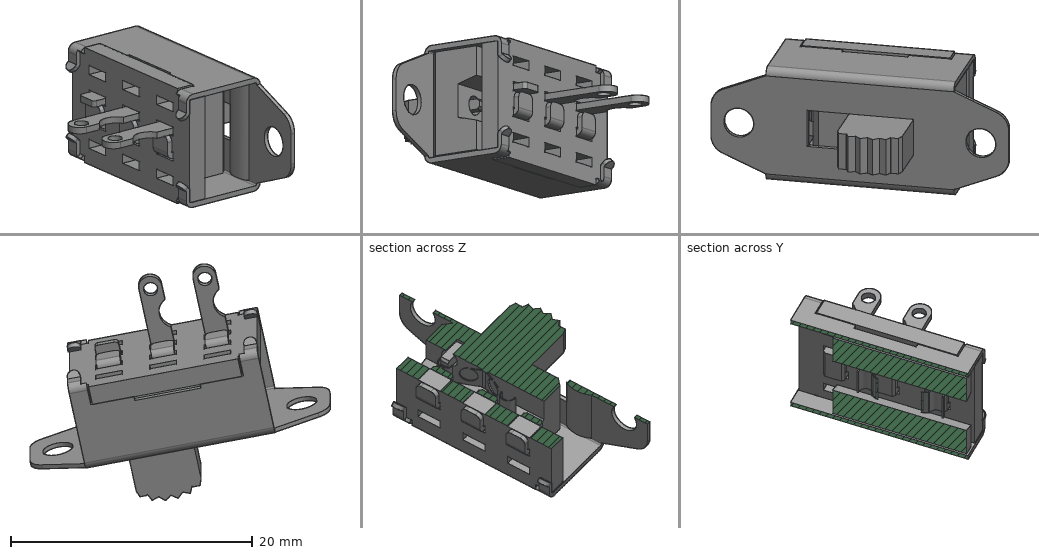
import cadquery as cq
import math


BRACKET_LENGTH = 16.04
BRACKET_HALF_HEIGHT = 5.0
SHEET = 0.38
SIDE_WALL = 0.46
FRONT_BEND_RADIUS = 0.7
BACK_BEND_RADIUS = 0.7
INNER_BEND_RADIUS = 0.13
EAR_SPAN = 25.4
EAR_ROOT_HALF_HEIGHT = 4.35
EAR_END_HALF_HEIGHT = 2.41
EAR_CORNER_RADIUS = 1.6
EAR_HOLE_DIAMETER = 2.54
EAR_HOLE_SPACING = 20.65
WINDOW_LENGTH = 8.96
WINDOW_HEIGHT = 3.2

BASE_FRONT = -5.74
BASE_BACK = -7.37
BASE_LENGTH = 15.88
BASE_HEIGHT = 2 * (BRACKET_HALF_HEIGHT - SIDE_WALL)
FLANGE_LENGTH = 12.66
FLANGE_HEIGHT = 10.16
SLOT_WIDTH = 2.26
SLOT_HEIGHT = 0.8
INNER_SLOT_Z = 1.1
OUTER_SLOT_Z = 3.26
POLE_PITCH = 4.59

FLANGE_NOTCH_LENGTH = 12.92
RELIEF_LENGTH = 5.6
RELIEF_DEPTH = 0.37

BRACKET_BACK = BASE_BACK - SHEET
TAB_WIDTH = 1.09
TAB_ROOT_Z = 4.3
BEND_CUT_Y = -7.34
BEND_CUT_Z = 4.45
TAB_KINK_Z = 3.47
TAB_TIP_LENGTH = 0.7
TAB_TIP_ANGLE = 45

DETENT_X = 5.7
DETENT_HALF_LENGTH = 1.3
DETENT_RISE = 0.35

HANDLE_X = -1.83
HANDLE_HEIGHT = 3.14
HANDLE_HALF_PROFILE = [(2.755, 4.0), (2.55, 4.57), (1.93, 4.57), (1.88, 4.5),
                       (1.62, 5.1), (1.02, 4.87), (0.53, 5.33), (0, 4.95)]
SLIDER_LENGTH = 12.1
SLIDER_HEIGHT = 8.82
SLIDER_BACK = -5.14
SLIDER_CHAMFER = 0.62
CHANNEL_CEILING = -3.28
CHANNEL_MOUTH_HALF = 1.91
CHANNEL_CEILING_HALF = 1.42
PIN_WIDTH = 0.88
PIN_LENGTH = 0.8
PIN_CHAMFER = 0.2
BORE_DIAMETER = 1.6
BORE_DEPTH = 1.6
BORE_OFFSET = 3.65

SPRING_WIDTH = 2.38
SPRING_THICKNESS = 0.13
SPRING_TROUGH_OFFSET = 3.2
SPRING_TROUGH_RADIUS = 0.71
SPRING_FLAT_HALF = 0.3
SPRING_TIP_Y = -4.43
SPRING_HOLE_DIAMETER = 1.45
SPRING_HOLE_OFFSET = 1.25

TERMINAL_WIDTH = 1.93
TERMINAL_THICKNESS = 0.55
TERMINAL_HALF_SPAN = 1.35
TERMINAL_CHAMFER = 0.22
CLINCH_THICKNESS = 0.46
CLINCH_TOP_Z = 0.66
CLINCH_BEND_RADIUS = 0.6
CLINCH_CORNER_RADIUS = 0.5
LUG_END = -13.71
LUG_HOLE_Y = -12.56
LUG_HOLE_DIAMETER = 1.17
LUG_NOTCH_Y = -10.16
LUG_NOTCH_HALF_LENGTH = 1.25
LUG_NOTCH_DEPTH = 0.71
STUB_WIDTH = 2.02
STUB_END = -8.51
STUB_CORNER_RADIUS = 0.3

SIDES = (-1, 1)


def block(x_range, y_range, z_range):
    """Axis-aligned box between the given limits."""
    x0, x1 = x_range
    y0, y1 = y_range
    z0, z1 = z_range
    size = (x1 - x0, y1 - y0, z1 - z0)
    return cq.Workplane("XY").box(*size, centered=False).translate((x0, y0, z0))


def centred_block(length, height, y_back, y_front, x=0, z=0):
    """Box centred on (x, z) that spans y_back to y_front."""
    return block((x - length / 2, x + length / 2), (y_back, y_front), (z - height / 2, z + height / 2))


def make_bend_cut(side_x):
    """Wedge that ends the upper back bend on a 45 degree face beside the tab."""
    reach = BACK_BEND_RADIUS
    profile = [(BEND_CUT_Y, BEND_CUT_Z), (BEND_CUT_Y - reach, BEND_CUT_Z + reach),
               (BEND_CUT_Y - reach, 0), (BEND_CUT_Y, 0)]
    notch_x = FLANGE_NOTCH_LENGTH / 2
    width = BRACKET_LENGTH / 2 - TAB_WIDTH - notch_x
    start_x = notch_x if side_x > 0 else -notch_x - width
    return cq.Workplane("YZ").polyline(profile).close().extrude(width).translate((start_x, 0, 0))


def make_shell():
    """Mounting plate, both side walls and the back bends, before the tabs are added."""
    outer = centred_block(BRACKET_LENGTH, 2 * BRACKET_HALF_HEIGHT, BRACKET_BACK, 0)
    outer = outer.edges("|X and >Y").fillet(FRONT_BEND_RADIUS)
    outer = outer.edges("|X and <Y").fillet(BACK_BEND_RADIUS)
    cavity = centred_block(BRACKET_LENGTH, BASE_HEIGHT, BASE_BACK, -SHEET)
    cavity = cavity.edges("|X").fillet(INNER_BEND_RADIUS)
    shell = outer.cut(cavity)
    shell = shell.cut(centred_block(BRACKET_LENGTH, 2 * TAB_ROOT_Z, BRACKET_BACK, BASE_FRONT))
    shell = shell.cut(centred_block(FLANGE_NOTCH_LENGTH, FLANGE_HEIGHT, BRACKET_BACK, BASE_FRONT))
    for side in SIDES:
        cut = make_bend_cut(side)
        shell = shell.cut(cut).cut(cut.mirror("XY"))
    return shell.cut(centred_block(RELIEF_LENGTH, FLANGE_HEIGHT, BASE_FRONT, BASE_FRONT + RELIEF_DEPTH))


def make_ears():
    """Ear plate with tapered, rounded ends and the two mounting holes."""
    end_x = EAR_SPAN / 2
    root_x = BRACKET_LENGTH / 2
    outline = [(-end_x, -EAR_END_HALF_HEIGHT), (-root_x, -EAR_ROOT_HALF_HEIGHT),
               (root_x, -EAR_ROOT_HALF_HEIGHT), (end_x, -EAR_END_HALF_HEIGHT),
               (end_x, EAR_END_HALF_HEIGHT), (root_x, EAR_ROOT_HALF_HEIGHT),
               (-root_x, EAR_ROOT_HALF_HEIGHT), (-end_x, EAR_END_HALF_HEIGHT)]
    ears = cq.Workplane("XZ").polyline(outline).close().extrude(SHEET)
    ears = ears.edges("|Y").edges("<X or >X").fillet(EAR_CORNER_RADIUS)
    holes = (
        cq.Workplane("XZ")
        .pushPoints([(side * EAR_HOLE_SPACING / 2, 0) for side in SIDES])
        .circle(EAR_HOLE_DIAMETER / 2)
        .extrude(SHEET)
    )
    return ears.cut(holes)


def make_tab(side_x):
    """Upper clinching tab: a flat root and a round tip bent away from the base."""
    outer_x = side_x * BRACKET_LENGTH / 2
    inner_x = outer_x - side_x * TAB_WIDTH
    x_range = (min(outer_x, inner_x), max(outer_x, inner_x))
    half_angle = math.radians(TAB_TIP_ANGLE / 2)
    inner_kink_z = TAB_KINK_Z - SHEET * math.tan(half_angle)
    root_profile = [(BRACKET_BACK, TAB_ROOT_Z), (BRACKET_BACK, TAB_KINK_Z),
                    (BASE_BACK, inner_kink_z), (BASE_BACK, TAB_ROOT_Z)]
    root = cq.Workplane("YZ").polyline(root_profile).close().extrude(TAB_WIDTH)
    root = root.translate((x_range[0], 0, 0))

    angle = math.radians(TAB_TIP_ANGLE)
    tip_plane = cq.Plane(
        origin=(sum(x_range) / 2, BRACKET_BACK, TAB_KINK_Z),
        xDir=(1, 0, 0),
        normal=(0, math.cos(angle), -math.sin(angle)),
    )
    half_width = TAB_WIDTH / 2
    straight = TAB_TIP_LENGTH - half_width
    tip = (
        cq.Workplane(tip_plane)
        .moveTo(-half_width, 0)
        .lineTo(-half_width, straight)
        .threePointArc((0, TAB_TIP_LENGTH), (half_width, straight))
        .lineTo(half_width, 0)
        .close()
        .extrude(SHEET)
    )
    wedge_profile = [(BRACKET_BACK, TAB_KINK_Z), (BASE_BACK, inner_kink_z),
                     (BRACKET_BACK + SHEET * math.cos(angle), TAB_KINK_Z - SHEET * math.sin(angle))]
    wedge = cq.Workplane("YZ").polyline(wedge_profile).close().extrude(TAB_WIDTH)
    return root.union(wedge.translate((x_range[0], 0, 0))).union(tip)


def make_detent(x):
    """Shallow cylindrical hump on the inner face of the mounting plate."""
    return (
        cq.Workplane("XY")
        .moveTo(x - DETENT_HALF_LENGTH, -SHEET)
        .threePointArc((x, -SHEET - DETENT_RISE), (x + DETENT_HALF_LENGTH, -SHEET))
        .close()
        .extrude(SLIDER_HEIGHT / 2, both=True)
    )


def make_bracket():
    """Complete bracket with ears, handle window, tabs and detents."""
    bracket = make_shell().union(make_ears())
    bracket = bracket.cut(centred_block(WINDOW_LENGTH, WINDOW_HEIGHT, -SHEET, 0))
    for side in SIDES:
        tab = make_tab(side)
        bracket = bracket.union(tab).union(tab.mirror("XY"))
        bracket = bracket.union(make_detent(side * DETENT_X))
    return bracket


def make_base():
    """Base plate with its flange and a grid of through slots."""
    base = centred_block(BASE_LENGTH, BASE_HEIGHT, BASE_BACK, BASE_FRONT)
    base = base.union(centred_block(FLANGE_LENGTH, FLANGE_HEIGHT, BASE_BACK, BASE_FRONT))
    for column in (-1, 0, 1):
        for z in (-OUTER_SLOT_Z, -INNER_SLOT_Z, INNER_SLOT_Z, OUTER_SLOT_Z):
            base = base.cut(
                centred_block(SLOT_WIDTH, SLOT_HEIGHT, BASE_BACK, BASE_FRONT, column * POLE_PITCH, z)
            )
    return base


def make_slider():
    """Slider body with its tapered channel, guide pin in a round bore, and serrated handle."""
    body = centred_block(SLIDER_LENGTH, SLIDER_HEIGHT, SLIDER_BACK, -SHEET)
    body = body.edges("|Z and >Y").chamfer(SLIDER_CHAMFER)
    channel_profile = [(SLIDER_BACK, -CHANNEL_MOUTH_HALF), (CHANNEL_CEILING, -CHANNEL_CEILING_HALF),
                       (CHANNEL_CEILING, CHANNEL_CEILING_HALF), (SLIDER_BACK, CHANNEL_MOUTH_HALF)]
    channel = cq.Workplane("YZ").polyline(channel_profile).close().extrude(SLIDER_LENGTH / 2, both=True)
    bore = (
        cq.Workplane("XZ", origin=(-BORE_OFFSET, CHANNEL_CEILING + BORE_DEPTH, 0))
        .circle(BORE_DIAMETER / 2)
        .extrude(BORE_DEPTH)
    )
    pin = centred_block(
        PIN_WIDTH, PIN_WIDTH, CHANNEL_CEILING - PIN_LENGTH, CHANNEL_CEILING + BORE_DEPTH, -BORE_OFFSET
    )
    pin = pin.edges("|X and <Y").chamfer(PIN_CHAMFER)
    half_width = HANDLE_HALF_PROFILE[0][0]
    mirrored = [(-x, y) for x, y in reversed(HANDLE_HALF_PROFILE[:-1])]
    outline = [(half_width, -SHEET), *HANDLE_HALF_PROFILE, *mirrored, (-half_width, -SHEET)]
    handle = cq.Workplane("XY").polyline(outline).close().extrude(HANDLE_HEIGHT / 2, both=True)
    return body.cut(channel).cut(bore).union(pin).union(handle).translate((HANDLE_X, 0, 0))


def make_spring():
    """Leaf spring: a flat middle and a rounded contact trough at each end."""
    outer = SPRING_TROUGH_RADIUS
    inner = outer - SPRING_THICKNESS
    centre_y = SLIDER_BACK + outer
    trough_x = SPRING_TROUGH_OFFSET
    flat_y = CHANNEL_CEILING - SPRING_THICKNESS
    half_leaf = (
        cq.Workplane("XY")
        .moveTo(0, CHANNEL_CEILING)
        .lineTo(SPRING_FLAT_HALF, CHANNEL_CEILING)
        .lineTo(trough_x - inner, centre_y)
        .threePointArc((trough_x, centre_y - inner), (trough_x + inner, centre_y))
        .lineTo(trough_x + inner, SPRING_TIP_Y + SPRING_THICKNESS)
        .lineTo(trough_x + outer, SPRING_TIP_Y + SPRING_THICKNESS)
        .lineTo(trough_x + outer, centre_y)
        .threePointArc((trough_x, centre_y - outer), (trough_x - outer, centre_y))
        .lineTo(SPRING_FLAT_HALF - SPRING_THICKNESS, flat_y)
        .lineTo(0, flat_y)
        .close()
        .extrude(SPRING_WIDTH / 2, both=True)
    )
    spring = half_leaf.union(half_leaf.mirror("YZ"))
    leg_holes = (
        cq.Workplane("XZ")
        .pushPoints([(side * SPRING_HOLE_OFFSET, 0) for side in SIDES])
        .circle(SPRING_HOLE_DIAMETER / 2)
        .extrude(-SLIDER_BACK)
    )
    return spring.cut(leg_holes).translate((HANDLE_X, 0, 0))


def make_contact(width):
    """Bridge on the base front and the lower leg clinched up against the base back."""
    bridge = centred_block(width, 2 * TERMINAL_HALF_SPAN, BASE_FRONT, SLIDER_BACK)
    bridge = bridge.edges("|Z and >Y").chamfer(TERMINAL_CHAMFER)
    leg_top = TERMINAL_THICKNESS - TERMINAL_HALF_SPAN
    clinch_back = BASE_BACK - CLINCH_THICKNESS
    leg_profile = [(BASE_FRONT, -TERMINAL_HALF_SPAN), (clinch_back, -TERMINAL_HALF_SPAN),
                   (clinch_back, CLINCH_TOP_Z), (BASE_BACK, CLINCH_TOP_Z),
                   (BASE_BACK, leg_top), (BASE_FRONT, leg_top)]
    leg = cq.Workplane("YZ").polyline(leg_profile).close().extrude(width / 2, both=True)
    leg = leg.edges("|X and <Y and <Z").fillet(CLINCH_BEND_RADIUS)
    leg = leg.edges("|Y and >Z").fillet(CLINCH_CORNER_RADIUS)
    return bridge.union(leg)


def make_solder_terminal():
    """Contact with a long solder lug that has a side notch, a round end and a hole."""
    half = TERMINAL_WIDTH / 2
    notch_top = LUG_NOTCH_Y + LUG_NOTCH_HALF_LENGTH
    notch_bottom = LUG_NOTCH_Y - LUG_NOTCH_HALF_LENGTH
    lug_bottom_z = TERMINAL_HALF_SPAN - TERMINAL_THICKNESS
    lug = (
        cq.Workplane("XY", origin=(0, 0, lug_bottom_z))
        .moveTo(-half, BASE_FRONT)
        .lineTo(half, BASE_FRONT)
        .lineTo(half, notch_top)
        .threePointArc((half - LUG_NOTCH_DEPTH, LUG_NOTCH_Y), (half, notch_bottom))
        .lineTo(half, LUG_END + half)
        .threePointArc((0, LUG_END), (-half, LUG_END + half))
        .close()
        .extrude(TERMINAL_THICKNESS)
    )
    hole = (
        cq.Workplane("XY", origin=(0, LUG_HOLE_Y, lug_bottom_z))
        .circle(LUG_HOLE_DIAMETER / 2)
        .extrude(TERMINAL_THICKNESS)
    )
    return make_contact(TERMINAL_WIDTH).union(lug.cut(hole))


def make_stub_terminal():
    """Contact whose upper leg is cut short, with two rounded corners."""
    lug_z = TERMINAL_HALF_SPAN - TERMINAL_THICKNESS / 2
    stub = centred_block(STUB_WIDTH, TERMINAL_THICKNESS, STUB_END, BASE_FRONT, z=lug_z)
    stub = stub.edges("|Z and <Y").fillet(STUB_CORNER_RADIUS)
    return make_contact(STUB_WIDTH).union(stub)


result = make_bracket().union(make_base()).union(make_slider()).union(make_spring())
result = result.union(make_stub_terminal().translate((-POLE_PITCH, 0, 0)))
for terminal_x in (0, POLE_PITCH):
    result = result.union(make_solder_terminal().translate((terminal_x, 0, 0)))